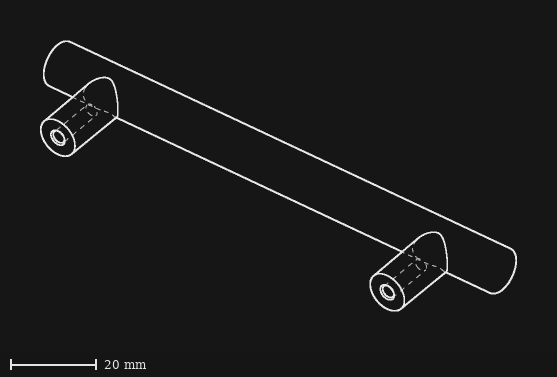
import cadquery as cq

BAR_LENGTH = 130.0
BAR_DIAMETER = 11.5
BAR_END_ROUNDING = 0.9

POST_SPACING = 96.0
POST_END_DIAMETER = 10.0
POST_ROOT_DIAMETER = 10.3
TOTAL_DEPTH = 28.0
POST_REACH = TOTAL_DEPTH - BAR_DIAMETER / 2

HOLE_DIAMETER = 3.2
HOLE_DEPTH = 13.0
HOLE_MOUTH_DIAMETER = 4.0
COUNTERSINK_DEPTH = (HOLE_MOUTH_DIAMETER - HOLE_DIAMETER) / 2

INWARD = cq.Vector(0, 1, 0)


def grip_bar():
    bar = cq.Workplane("YZ", origin=(-BAR_LENGTH / 2, 0, 0)).circle(BAR_DIAMETER / 2).extrude(BAR_LENGTH)
    return bar.faces("<X or >X").edges().fillet(BAR_END_ROUNDING)


def tapered_post(end_center):
    """Post from its free end to the bar axis."""
    return cq.Workplane(
        cq.Solid.makeCone(POST_END_DIAMETER / 2, POST_ROOT_DIAMETER / 2, POST_REACH, end_center, INWARD)
    )


def screw_hole(end_center):
    """Material removed by the hole and its 45 degree countersink."""
    bore = cq.Solid.makeCylinder(HOLE_DIAMETER / 2, HOLE_DEPTH, end_center, INWARD)
    countersink = cq.Solid.makeCone(
        HOLE_MOUTH_DIAMETER / 2, HOLE_DIAMETER / 2, COUNTERSINK_DEPTH, end_center, INWARD
    )
    return cq.Workplane(bore).union(cq.Workplane(countersink))


result = grip_bar()
for post_x in (-POST_SPACING / 2, POST_SPACING / 2):
    post_end_center = cq.Vector(post_x, -POST_REACH, 0)
    result = result.union(tapered_post(post_end_center))
    result = result.cut(screw_hole(post_end_center))